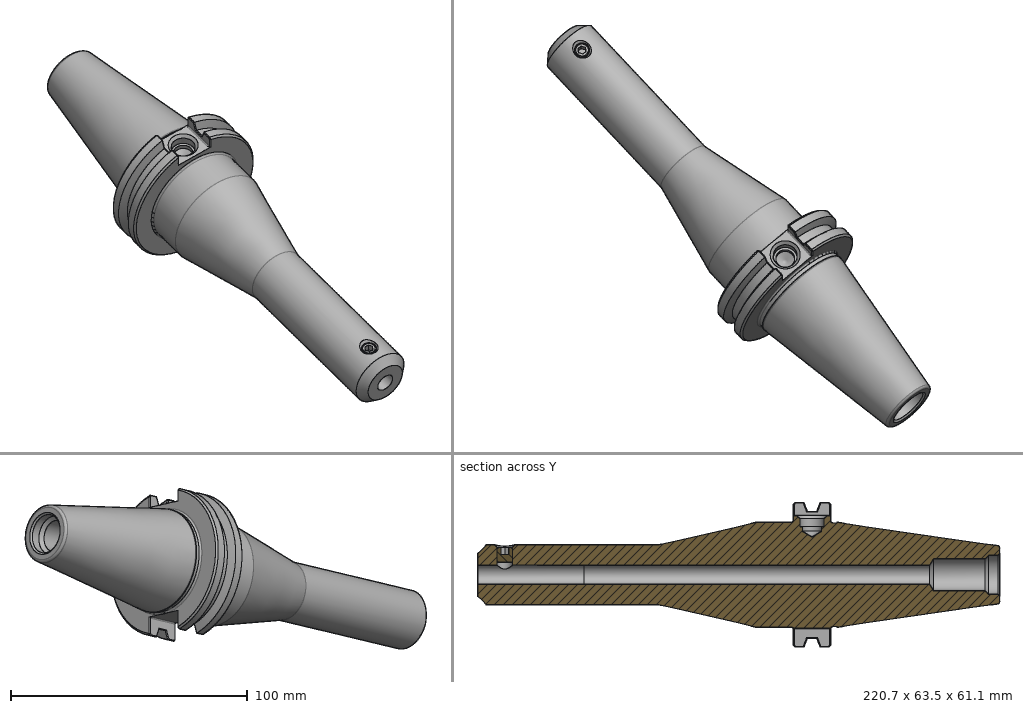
import cadquery as cq
import math


tolerance = 0.01

taper_length = 68.25
gauge_length = 152.4
flange_start = 3.18
flange_end = 19.05
neck_start = 0.6
nose_cylinder_end = 34.93
shank_start = 76.2
nose_chamfer = 3.6
small_end_fillet = 1.2

gauge_diameter = 44.45
neck_diameter = 43.94
flange_diameter = 63.5
shank_diameter = 25.4
taper_ratio = 7 / 24
small_end_diameter = gauge_diameter - taper_ratio * taper_length

groove_diameter = 56.36
groove_center = 11.1
groove_mouth = 6.8
groove_floor = 3.9
flange_chamfer = 0.8
root_fillet = 0.8

slot_width = 16.38
upper_floor = 25.0
lower_floor = 22.6
slot_edge_chamfer = 0.44
slot_corner_fillet = 0.5

key_hole_x = (flange_start + flange_end) / 2
key_hole_diameter = 10.13
key_hole_mouth_diameter = 12.7
key_hole_depth = 4.6
key_pilot_diameter = 8.0
key_pilot_depth = 6.6
drill_half_angle = 59

socket_mouth_diameter = 18.0
pilot_diameter = 16.46
pilot_depth = 4.7
pilot_half_angle = 45
thread_diameter = 13.39
thread_depth = 28.0
coolant_diameter = 8.0
tool_bore_diameter = 7.94
tool_bore_depth = 45.0

screw_x = gauge_length - 11.43
screw_diameter = 6.35
screw_top_diameter = 5.36
screw_length = 6.35
screw_seat_rim_diameter = 8.5
screw_top = shank_diameter / 2 - (screw_seat_rim_diameter - screw_diameter) / 2
hex_across_flats = 3.175
hex_depth = 3.0
hex_turn = 30


def revolve_about_x(points):
    """Turn an (x, radius) outline about the X axis."""
    return cq.Workplane("XY").polyline(points).close().revolve(360, (0, 0, 0), (1, 0, 0))


def revolve_about_z(points, x):
    """Turn a (radius, z) outline about the vertical line at the given x."""
    solid = cq.Workplane("XZ").polyline(points).close().revolve(360, (0, 0, 0), (0, 1, 0))
    return solid.translate((x, 0, 0))


def circles_at(body, x, radius):
    """List the circular edges of the given radius that lie in the plane at x."""
    circles = body.edges("%CIRCLE").vals()
    return [
        edge for edge in circles
        if abs(edge.Center().x - x) < tolerance and abs(edge.radius() - radius) < tolerance
    ]


def make_turned_outline():
    gauge_radius = gauge_diameter / 2
    neck_radius = neck_diameter / 2
    flange_radius = flange_diameter / 2
    shank_radius = shank_diameter / 2
    groove_radius = groove_diameter / 2
    mouth_half = groove_mouth / 2
    floor_half = groove_floor / 2
    outline = revolve_about_x([
        (-taper_length, 0),
        (-taper_length, small_end_diameter / 2),
        (0, gauge_radius),
        (neck_start, gauge_radius),
        (neck_start, neck_radius),
        (flange_start, neck_radius),
        (flange_start, flange_radius - flange_chamfer),
        (flange_start + flange_chamfer, flange_radius),
        (groove_center - mouth_half, flange_radius),
        (groove_center - floor_half, groove_radius),
        (groove_center + floor_half, groove_radius),
        (groove_center + mouth_half, flange_radius),
        (flange_end - flange_chamfer, flange_radius),
        (flange_end, flange_radius - flange_chamfer),
        (flange_end, gauge_radius),
        (nose_cylinder_end, gauge_radius),
        (shank_start, shank_radius),
        (gauge_length - nose_chamfer, shank_radius),
        (gauge_length, shank_radius - nose_chamfer),
        (gauge_length, 0),
    ])
    outline = outline.faces("<X").edges().fillet(small_end_fillet)
    roots = circles_at(outline, flange_start, neck_radius) + circles_at(outline, flange_end, gauge_radius)
    return outline.newObject(roots).fillet(root_fillet)


def make_slot(floor):
    slot = cq.Workplane("XY").box(
        flange_end - flange_start, slot_width, flange_diameter, centered=(False, True, False)
    )
    return slot.translate((flange_start, 0, floor))


def lies_in_slot_wall(edge):
    box = edge.BoundingBox()
    return box.ylen < tolerance and abs(abs(box.center.y) - slot_width / 2) < tolerance


def lies_in_slot_floor(edge):
    box = edge.BoundingBox()
    at_floor = any(abs(box.center.z - floor) < tolerance for floor in (upper_floor, -lower_floor))
    return box.zlen < tolerance and at_floor


def finish_slot_edges(holder):
    """Chamfer the rims of the slot walls and round the corners between walls and floors."""
    wall_edges = [edge for edge in holder.edges().vals() if lies_in_slot_wall(edge)]
    rims = [edge for edge in wall_edges if not lies_in_slot_floor(edge)]
    holder = holder.newObject(rims).chamfer(slot_edge_chamfer)
    corners = [
        edge for edge in holder.edges("|X").vals()
        if lies_in_slot_wall(edge) and lies_in_slot_floor(edge)
    ]
    return holder.newObject(corners).fillet(slot_corner_fillet)


def make_bore():
    mouth_radius = socket_mouth_diameter / 2
    pilot_radius = pilot_diameter / 2
    thread_radius = thread_diameter / 2
    coolant_radius = coolant_diameter / 2
    tool_radius = tool_bore_diameter / 2
    mouth_x = mouth_radius - pilot_radius - taper_length
    pilot_x = pilot_depth - taper_length
    thread_x = thread_depth - taper_length
    tool_x = gauge_length - tool_bore_depth
    pilot_run = (pilot_radius - thread_radius) / math.tan(math.radians(pilot_half_angle))
    drill_run = (thread_radius - coolant_radius) / math.tan(math.radians(drill_half_angle))
    return revolve_about_x([
        (-taper_length, 0),
        (-taper_length, mouth_radius),
        (mouth_x, pilot_radius),
        (pilot_x, pilot_radius),
        (pilot_x + pilot_run, thread_radius),
        (thread_x, thread_radius),
        (thread_x + drill_run, coolant_radius),
        (tool_x, coolant_radius),
        (tool_x, tool_radius),
        (gauge_length, tool_radius),
        (gauge_length, 0),
    ])


def make_key_hole():
    mouth_radius = key_hole_mouth_diameter / 2
    hole_radius = key_hole_diameter / 2
    pilot_radius = key_pilot_diameter / 2
    cone_depth = pilot_radius / math.tan(math.radians(drill_half_angle))
    hole_floor = upper_floor - key_hole_depth
    pilot_floor = upper_floor - key_pilot_depth
    return revolve_about_z([
        (0, upper_floor),
        (mouth_radius, upper_floor),
        (hole_radius, upper_floor - (mouth_radius - hole_radius)),
        (hole_radius, hole_floor),
        (pilot_radius, hole_floor),
        (pilot_radius, pilot_floor),
        (0, pilot_floor - cone_depth),
    ], key_hole_x)


def make_screw_hole():
    hole_radius = screw_diameter / 2
    rim_radius = screw_seat_rim_diameter / 2
    shank_radius = shank_diameter / 2
    seat_bottom = shank_radius - (rim_radius - hole_radius)
    return revolve_about_z([
        (0, 0),
        (hole_radius, 0),
        (hole_radius, seat_bottom),
        (rim_radius, shank_radius),
        (0, shank_radius),
    ], screw_x)


def make_holder():
    holder = make_turned_outline()
    holder = holder.cut(make_slot(upper_floor))
    holder = holder.cut(make_slot(lower_floor).rotate((0, 0, 0), (1, 0, 0), 180))
    holder = finish_slot_edges(holder)
    holder = holder.cut(make_bore())
    holder = holder.cut(make_key_hole())
    return holder.cut(make_screw_hole())


def make_set_screw():
    hex_corner_diameter = hex_across_flats / math.cos(math.pi / 6)
    body = cq.Workplane("XY").circle(screw_diameter / 2).extrude(-screw_length)
    body = body.faces(">Z").chamfer((screw_diameter - screw_top_diameter) / 2)
    socket = cq.Workplane("XY").polygon(6, hex_corner_diameter).extrude(-hex_depth)
    socket = socket.rotate((0, 0, 0), (0, 0, 1), hex_turn)
    return body.cut(socket).translate((screw_x, 0, screw_top))


holder = make_holder()
set_screw = make_set_screw()
result = cq.Compound.makeCompound([holder.val(), set_screw.val()])